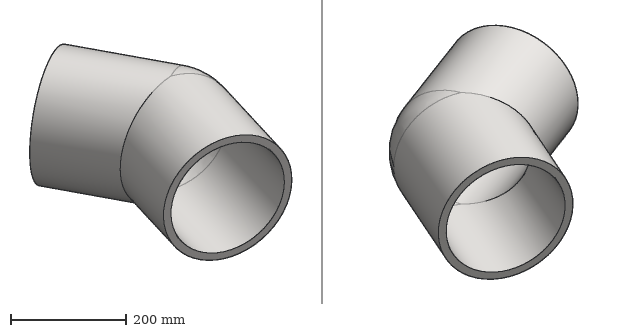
import cadquery as cq
import math

overall_length = 459.0
outer_diameter = 250.0
wall = 14.5
bend_angle = 45.0

outer_radius = outer_diameter / 2
inner_radius = outer_radius - wall
bend = math.radians(bend_angle)

leg_length = (overall_length - outer_radius * math.sin(bend)) / (1 + math.cos(bend))


def leg(radius, direction):
    """Cylinder from the bend centre (the origin) along a direction."""
    return cq.Workplane(cq.Plane((0, 0, 0), (0, 0, 1), direction)).circle(radius).extrude(leg_length)


def bend_wedge(radius):
    """Spherical wedge filling the outside of the bend between the two leg ends."""
    half_disc = cq.Workplane("YZ").moveTo(0, -radius).threePointArc((radius, 0), (0, radius)).close()
    return half_disc.revolve(bend_angle, (0, 0), (0, -1))


def elbow(radius):
    """Solid elbow: one leg toward -X, one turned toward -Y, and the rounded outer bend."""
    straight_leg = leg(radius, (-1, 0, 0))
    slanted_leg = leg(radius, (math.cos(bend), -math.sin(bend), 0))
    return straight_leg.union(slanted_leg).union(bend_wedge(radius))


result = elbow(outer_radius).cut(elbow(inner_radius))